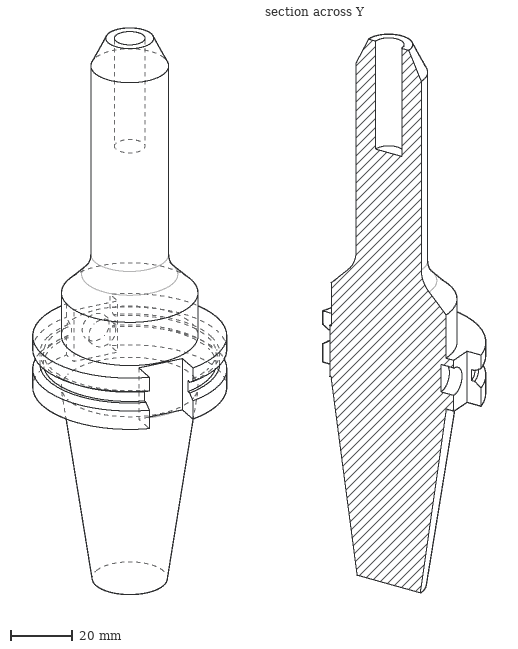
import cadquery as cq
import math

total_height = 195.2
taper_top = 68.3
flange_bottom = 69.1
lower_rim_top = 75.8
groove_floor_bottom = 77.5
groove_floor_top = 81.5
upper_rim_bottom = 82.8
flange_top = 87.7
shoulder_bottom = 103.3
tip_height = 10.0

taper_large_radius = 22.3
taper_ratio = 7 / 24
taper_small_radius = taper_large_radius - taper_top * taper_ratio / 2
flange_radius = 31.6
groove_radius = 28.1
groove_flank_inset = 2.3
body_radius = 22.3
neck_radius = 12.7
tip_radius = 7.8
neck_fillet = 10.2
shoulder_angle = math.radians(45)

slot_width = 15.8
slot_floor_left = -25.2
slot_floor_right = 22.8

bore_diameter = 10.0
bore_depth = 39.0
dimple_diameter = 9.8
dimple_depth = 4.9
dimple_height = 79.9


def turned_body():
    """Revolve the taper, grooved flange, collar, neck and conical tip."""
    fillet_center_radius = neck_radius + neck_fillet
    fillet_end_radius = fillet_center_radius - neck_fillet * math.cos(shoulder_angle)
    fillet_end_height = shoulder_bottom + (body_radius - fillet_end_radius) * math.tan(shoulder_angle)
    fillet_center_height = fillet_end_height + neck_fillet * math.sin(shoulder_angle)
    fillet_middle = (
        fillet_center_radius - neck_fillet * math.cos(shoulder_angle / 2),
        fillet_center_height - neck_fillet * math.sin(shoulder_angle / 2),
    )
    flank_radius = flange_radius - groove_flank_inset
    profile = (
        cq.Workplane("XZ")
        .moveTo(0, 0)
        .lineTo(taper_small_radius, 0)
        .lineTo(taper_large_radius, taper_top)
        .lineTo(taper_large_radius, flange_bottom)
        .lineTo(flange_radius, flange_bottom)
        .lineTo(flange_radius, lower_rim_top)
        .lineTo(flank_radius, groove_floor_bottom)
        .lineTo(groove_radius, groove_floor_bottom)
        .lineTo(groove_radius, groove_floor_top)
        .lineTo(flank_radius, groove_floor_top)
        .lineTo(flange_radius, upper_rim_bottom)
        .lineTo(flange_radius, flange_top)
        .lineTo(body_radius, flange_top)
        .lineTo(body_radius, shoulder_bottom)
        .lineTo(fillet_end_radius, fillet_end_height)
        .threePointArc(fillet_middle, (neck_radius, fillet_center_height))
        .lineTo(neck_radius, total_height - tip_height)
        .lineTo(tip_radius, total_height)
        .lineTo(0, total_height)
        .close()
    )
    return profile.revolve(360, (0, 0, 0), (0, 1, 0))


def drive_slot(floor_x):
    """Block that cuts one slot through the flange, outward from its floor."""
    outward = math.copysign(flange_radius, floor_x)
    return (
        cq.Workplane("YZ", origin=(floor_x, 0, (flange_bottom + flange_top) / 2))
        .rect(slot_width, flange_top - flange_bottom)
        .extrude(outward)
    )


def tip_bore():
    """Blind bore entering from the tip."""
    return (
        cq.Workplane("XY", origin=(0, 0, total_height))
        .circle(bore_diameter / 2)
        .extrude(-bore_depth)
    )


def slot_dimple():
    """Shallow round hole in the floor of the left slot."""
    return (
        cq.Workplane("YZ", origin=(slot_floor_left, 0, dimple_height))
        .circle(dimple_diameter / 2)
        .extrude(dimple_depth)
    )


result = turned_body()
for slot_floor in (slot_floor_left, slot_floor_right):
    result = result.cut(drive_slot(slot_floor))
result = result.cut(tip_bore()).cut(slot_dimple())